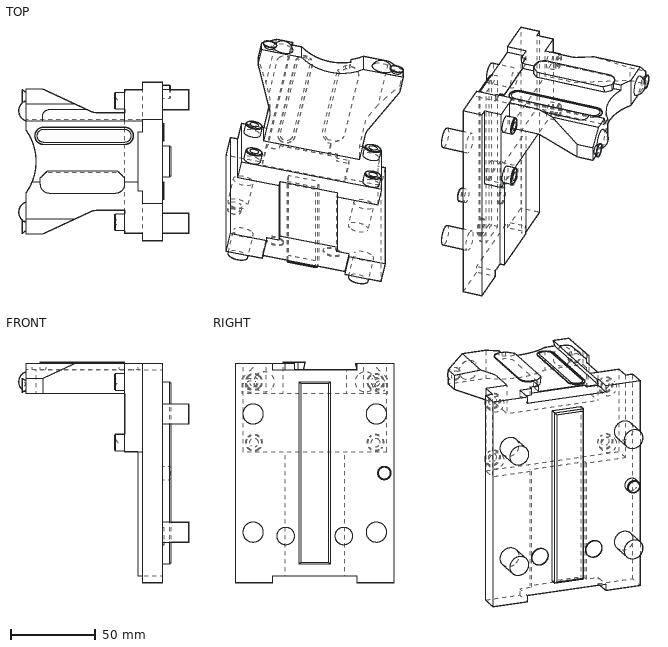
import cadquery as cq
import math


PLATE_WIDTH = 94.0
PLATE_HEIGHT = 130.0
PLATE_THICKNESS = 12.0
NOTCH_WIDTH = 50.0
NOTCH_DEPTH = 4.0
STRIP_WIDTH = 35.0
STRIP_THICKNESS = 2.7

BLOCK_WIDTH = 85.0
BLOCK_HEIGHT = 52.4
BLOCK_FRONT_X = -22.5

ARM_FRONT_X = -81.0
ARM_THICKNESS = 18.0
ARM_HALF_WIDTH = 43.0
ARM_NECK_HALF_WIDTH = 29.0
ARM_TIP_LENGTH = 10.0
ARM_TAPER_ANGLE = 25.0
ARM_TAPER_BLEND = 8.0
ARM_TOP_CHAMFER = 9.0
RECESS_HALF_CHORD = 18.7
RECESS_DEPTH = 6.0

CHANNEL_RIGHT_Y = -12.0
CHANNEL_FLOOR_Z = 126.4
CHANNEL_LEFT_TOP_Y = 24.0
DOVETAIL_UNDERCUT = 1.0

PAD_LENGTH = 50.0
PAD_RIGHT_Y = -18.8
PAD_LEFT_Y = -5.6
PAD_RISE = 0.63
PAD_CHAMFER = 4.2
PAD_CORNER_RADIUS = 5.5

RELIEF_FRONT_X = -71.2
RELIEF_OUTER_Y = 30.7
RELIEF_CORNER_RADIUS = 4.0
RELIEF_DEPTH = 0.1

GROOVE_CENTER_X = -46.5
GROOVE_CENTER_Y = 15.2
GROOVE_LENGTH = 58.5
GROOVE_WIDTH = 10.4
GROOVE_DEPTH = 0.5
GROOVE_TOP_GAP = 1.4
GROOVE_BOTTOM_GAP = 0.2

DOME_Y = 30.0
DOME_Z = 119.0
DOME_RADIUS = 6.0
DOME_HEIGHT = 4.29
TIP_SCREW_Y = 38.4
TIP_SCREW_Z = 116.9
TIP_SCREW_RADIUS = 4.1
TIP_SCREW_NECK_RADIUS = 2.6
TIP_SCREW_RIM = 0.4
TIP_SCREW_HEIGHT = 2.3

HEAD_Y = 36.0
HEAD_Z = (83.0, 119.0)
HEAD_RADIUS = 5.0
HEAD_HEIGHT = 5.9
HEAD_EDGE_CHAMFER = 0.5
SOCKET_RADIUS = 2.6
SOCKET_DEPTH = 2.0

PEG_Y = 36.5
PEG_Z = (30.0, 100.0)
PEG_RADIUS = 6.0
PEG_LENGTH = 15.5
KEY_WIDTH = 18.5
KEY_BOTTOM_Z = 11.0
KEY_TOP_Z = 119.0
KEY_THICKNESS = 5.0
KEY_CHAMFER = 1.0
DISC_Y = 17.2
DISC_Z = 27.7
DISC_RADIUS = 5.2
DISC_THICKNESS = 0.7
STUD_Y = 41.2
STUD_Z = 65.0
STUD_RADIUS = 4.0
STUD_LENGTH = 4.5
STUD_CHAMFER = 0.5

ARM_BOTTOM_Z = PLATE_HEIGHT - ARM_THICKNESS
NOTCH_FLOOR_Z = PLATE_HEIGHT - NOTCH_DEPTH
STRIP_FRONT_X = -PLATE_THICKNESS - STRIP_THICKNESS
OVERLAP = 1.0


def box(x_range, y_range, z_range):
    """Axis-aligned box between two limits on each axis."""
    (x0, x1), (y0, y1), (z0, z1) = x_range, y_range, z_range
    return cq.Workplane("XY").box(x1 - x0, y1 - y0, z1 - z0, centered=False).translate((x0, y0, z0))


def centred(width):
    """Limits of a width centred on zero."""
    return (-width / 2, width / 2)


def cylinder_along_x(x, y, z, radius, length):
    """Cylinder starting at x and running towards +X."""
    return cq.Workplane("YZ", origin=(x, y, z)).circle(radius).extrude(length)


def make_plate():
    plate = box((-PLATE_THICKNESS, 0), centred(PLATE_WIDTH), (0, PLATE_HEIGHT))
    strip = box((STRIP_FRONT_X, -OVERLAP), centred(STRIP_WIDTH), (0, NOTCH_FLOOR_Z))
    return plate.union(strip)


def cut_notches(body):
    """Open the plate's top and bottom edges; the top notch includes the strip's slot in the block."""
    for z_range in ((0, NOTCH_DEPTH), (NOTCH_FLOOR_Z, PLATE_HEIGHT)):
        body = body.cut(box((-PLATE_THICKNESS, 0), centred(NOTCH_WIDTH), z_range))
        body = body.cut(box((STRIP_FRONT_X, 0), centred(STRIP_WIDTH), z_range))
    return body


def make_block():
    return box(
        (BLOCK_FRONT_X, -PLATE_THICKNESS), centred(BLOCK_WIDTH), (PLATE_HEIGHT - BLOCK_HEIGHT, PLATE_HEIGHT)
    )


def make_arm():
    tip_x = ARM_FRONT_X + ARM_TIP_LENGTH
    taper_run = (ARM_HALF_WIDTH - ARM_NECK_HALF_WIDTH) / math.tan(math.radians(ARM_TAPER_ANGLE))
    neck_x = tip_x + taper_run
    rear_x = BLOCK_FRONT_X + OVERLAP
    arm = (
        cq.Workplane("XY", origin=(0, 0, ARM_BOTTOM_Z))
        .moveTo(ARM_FRONT_X, -ARM_HALF_WIDTH)
        .lineTo(tip_x, -ARM_HALF_WIDTH)
        .lineTo(neck_x, -ARM_NECK_HALF_WIDTH)
        .lineTo(rear_x, -ARM_NECK_HALF_WIDTH)
        .lineTo(rear_x, ARM_NECK_HALF_WIDTH)
        .lineTo(neck_x, ARM_NECK_HALF_WIDTH)
        .lineTo(tip_x, ARM_HALF_WIDTH)
        .lineTo(ARM_FRONT_X, ARM_HALF_WIDTH)
        .lineTo(ARM_FRONT_X, RECESS_HALF_CHORD)
        .threePointArc((ARM_FRONT_X + RECESS_DEPTH, 0), (ARM_FRONT_X, -RECESS_HALF_CHORD))
        .close()
        .extrude(ARM_THICKNESS)
    )
    corner_box = cq.selectors.BoxSelector(
        (neck_x - OVERLAP, -ARM_HALF_WIDTH, ARM_BOTTOM_Z), (neck_x + OVERLAP, ARM_HALF_WIDTH, PLATE_HEIGHT)
    )
    arm = arm.edges("|Z").edges(corner_box).fillet(ARM_TAPER_BLEND)
    for side in (-1, 1):
        corner = (
            cq.Workplane("YZ", origin=(ARM_FRONT_X, 0, 0))
            .moveTo(side * ARM_HALF_WIDTH, PLATE_HEIGHT)
            .lineTo(side * (ARM_HALF_WIDTH - ARM_TOP_CHAMFER), PLATE_HEIGHT)
            .lineTo(side * ARM_HALF_WIDTH, PLATE_HEIGHT - ARM_TOP_CHAMFER)
            .close()
            .extrude(BLOCK_FRONT_X - ARM_FRONT_X)
        )
        arm = arm.cut(corner)
    return arm


def make_channel_cutter():
    """Dovetail groove: upright wall on the -Y side, undercut wall on the +Y side."""
    return (
        cq.Workplane("YZ", origin=(ARM_FRONT_X, 0, 0))
        .moveTo(CHANNEL_RIGHT_Y, CHANNEL_FLOOR_Z)
        .lineTo(CHANNEL_LEFT_TOP_Y + DOVETAIL_UNDERCUT, CHANNEL_FLOOR_Z)
        .lineTo(CHANNEL_LEFT_TOP_Y, PLATE_HEIGHT)
        .lineTo(CHANNEL_RIGHT_Y, PLATE_HEIGHT)
        .close()
        .extrude(-PLATE_THICKNESS - ARM_FRONT_X)
    )


def make_clamp_pad():
    """Pad with two bevelled and two rounded corners; its +Y wall leans over the channel."""
    front_x = BLOCK_FRONT_X - PAD_LENGTH
    base_z = CHANNEL_FLOOR_Z - OVERLAP
    top_z = PLATE_HEIGHT + PAD_RISE
    pad = box((front_x, BLOCK_FRONT_X), (PAD_RIGHT_Y, PAD_LEFT_Y), (base_z, top_z))
    pad = pad.edges("|Z and >Y").chamfer(PAD_CHAMFER)
    pad = pad.edges("|Z and <Y").fillet(PAD_CORNER_RADIUS)
    undercut = (
        cq.Workplane("YZ", origin=(front_x, 0, 0))
        .moveTo(PAD_LEFT_Y, top_z)
        .lineTo(PAD_LEFT_Y - DOVETAIL_UNDERCUT, CHANNEL_FLOOR_Z)
        .lineTo(PAD_LEFT_Y - DOVETAIL_UNDERCUT, base_z)
        .lineTo(PAD_LEFT_Y, base_z)
        .close()
        .extrude(PAD_LENGTH)
    )
    return pad.cut(undercut)


def make_relief_cutter():
    relief = box(
        (RELIEF_FRONT_X, BLOCK_FRONT_X),
        (CHANNEL_LEFT_TOP_Y, RELIEF_OUTER_Y),
        (PLATE_HEIGHT - RELIEF_DEPTH, PLATE_HEIGHT),
    )
    return relief.edges("|Z and >Y and <X").fillet(RELIEF_CORNER_RADIUS)


def make_groove_cutter():
    """Oblong ring: upright outer wall, inner island with sloping sides."""
    bottom_z = CHANNEL_FLOOR_Z - GROOVE_DEPTH
    plane = cq.Workplane("XY", origin=(GROOVE_CENTER_X, GROOVE_CENTER_Y, bottom_z))
    outer = plane.slot2D(GROOVE_LENGTH, GROOVE_WIDTH).extrude(GROOVE_DEPTH)
    slope = math.degrees(math.atan2(GROOVE_TOP_GAP - GROOVE_BOTTOM_GAP, GROOVE_DEPTH))
    island = plane.slot2D(
        GROOVE_LENGTH - 2 * GROOVE_BOTTOM_GAP, GROOVE_WIDTH - 2 * GROOVE_BOTTOM_GAP
    ).extrude(GROOVE_DEPTH, taper=slope)
    return outer.cut(island)


def make_dome(y):
    """Spherical cap on the arm's front face."""
    sphere_radius = (DOME_RADIUS**2 + DOME_HEIGHT**2) / (2 * DOME_HEIGHT)
    center_x = ARM_FRONT_X - DOME_HEIGHT + sphere_radius
    sphere = cq.Workplane("XY").sphere(sphere_radius).translate((center_x, y, DOME_Z))
    keep = box(
        (ARM_FRONT_X - DOME_HEIGHT, ARM_FRONT_X + OVERLAP),
        (y - 2 * DOME_RADIUS, y + 2 * DOME_RADIUS),
        (DOME_Z - 2 * DOME_RADIUS, DOME_Z + 2 * DOME_RADIUS),
    )
    return sphere.intersect(keep)


def make_tip_screw(y):
    """Countersunk head, flat side outward, narrowing to the arm's front face."""
    face_x = ARM_FRONT_X - TIP_SCREW_HEIGHT
    profile = [
        (face_x, 0),
        (face_x, TIP_SCREW_RADIUS),
        (face_x + TIP_SCREW_RIM, TIP_SCREW_RADIUS),
        (ARM_FRONT_X, TIP_SCREW_NECK_RADIUS),
        (ARM_FRONT_X + OVERLAP, TIP_SCREW_NECK_RADIUS),
        (ARM_FRONT_X + OVERLAP, 0),
    ]
    head = cq.Workplane("XY").polyline(profile).close().revolve(360, (0, 0, 0), (1, 0, 0))
    return head.translate((0, y, TIP_SCREW_Z))


def make_socket_head(y, z):
    """Cap-screw head with a conical socket."""
    face_x = BLOCK_FRONT_X - HEAD_HEIGHT
    head = cylinder_along_x(face_x, y, z, HEAD_RADIUS, HEAD_HEIGHT + OVERLAP)
    head = head.faces("<X").edges().chamfer(HEAD_EDGE_CHAMFER)
    socket = cq.Solid.makeCone(
        SOCKET_RADIUS, 0, SOCKET_DEPTH, cq.Vector(face_x, y, z), cq.Vector(1, 0, 0)
    )
    return head.cut(cq.Workplane(socket))


def make_key():
    key = box((0, KEY_THICKNESS), centred(KEY_WIDTH), (KEY_BOTTOM_Z, KEY_TOP_Z))
    return key.faces(">X").edges().chamfer(KEY_CHAMFER)


def make_stud():
    stud = cylinder_along_x(-OVERLAP, STUD_Y, STUD_Z, STUD_RADIUS, STUD_LENGTH + OVERLAP)
    return stud.faces(">X").edges().chamfer(STUD_CHAMFER)


body = cut_notches(make_plate().union(make_block()))
body = body.union(make_arm())
body = body.cut(make_channel_cutter())
body = body.cut(make_relief_cutter())
body = body.cut(make_groove_cutter())
body = body.union(make_clamp_pad())
body = body.union(make_key())
body = body.union(make_stud())

for side in (-1, 1):
    body = body.union(make_dome(side * DOME_Y))
    body = body.union(make_tip_screw(side * TIP_SCREW_Y))
    for head_z in HEAD_Z:
        body = body.union(make_socket_head(side * HEAD_Y, head_z))
    for peg_z in PEG_Z:
        body = body.union(cylinder_along_x(-OVERLAP, side * PEG_Y, peg_z, PEG_RADIUS, PEG_LENGTH + OVERLAP))
    body = body.union(
        cylinder_along_x(-OVERLAP, side * DISC_Y, DISC_Z, DISC_RADIUS, DISC_THICKNESS + OVERLAP)
    )

result = body